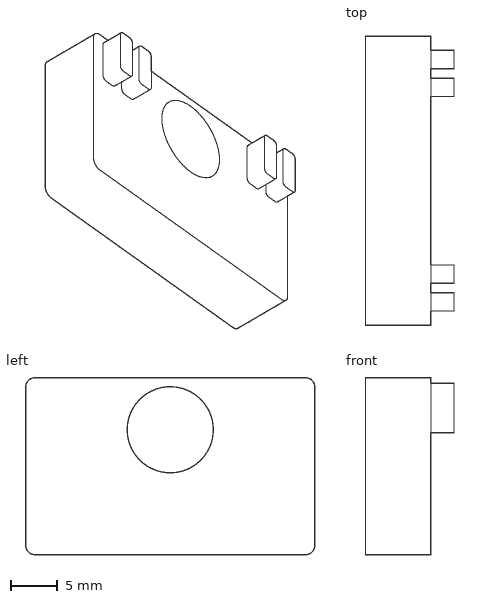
import cadquery as cq

block_thickness = 7.0
block_length = 31.0
block_height = 19.0
block_corner_radius = 1.02

hole_diameter = 9.2
hole_edge_gap = 1.0

peg_projection = 2.48
peg_width = 1.98
peg_height = 5.33
peg_corner_radius = 0.5
peg_top_gap = 0.6
peg_end_gap = 1.52
peg_spacing = 1.0

block_top = block_height / 2
hole_z = block_top - hole_edge_gap - hole_diameter / 2
peg_z = block_top - peg_top_gap - peg_height / 2
outer_peg_y = block_length / 2 - peg_end_gap - peg_width / 2
inner_peg_y = outer_peg_y - peg_width - peg_spacing


def rounded_bar(depth, width, height, corner_radius):
    """Bar from X = 0 to X = depth with its four long edges rounded."""
    bar = cq.Workplane("YZ").rect(width, height).extrude(depth)
    return bar.edges("|X").fillet(corner_radius)


block = rounded_bar(block_thickness, block_length, block_height, block_corner_radius)

hole = (
    cq.Workplane("YZ")
    .center(0, hole_z)
    .circle(hole_diameter / 2)
    .extrude(block_thickness)
)
result = block.cut(hole)

peg = rounded_bar(peg_projection, peg_width, peg_height, peg_corner_radius)
for peg_y in (-outer_peg_y, -inner_peg_y, inner_peg_y, outer_peg_y):
    result = result.union(peg.translate((block_thickness, peg_y, peg_z)))